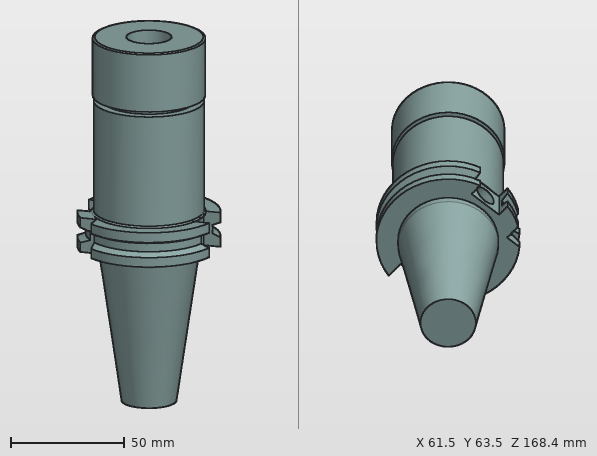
import cadquery as cq


gauge_diameter = 44.45
shank_length = 68.4
taper_ratio = 7 / 24
shank_end_diameter = gauge_diameter - taper_ratio * shank_length

flange_diameter = 63.55
flange_bottom = 3.2
flange_top = 19.1
groove_center = 11.08
groove_diameter = 56.25
groove_opening = 7.0
groove_floor_width = 3.85

body_diameter = 49.0
body_top = 70.5
fillet_radius = 0.8
neck_diameter = 40.5
nut_diameter = 50.0
nut_bottom = 73.0
nut_top = 100.0
nut_chamfer_width = 1.0
nut_chamfer_height = 0.52

bore_diameter = 20.0
bore_depth = nut_top - nut_bottom

slot_width = 16.1
left_slot_floor = 25.0
right_slot_floor = 22.8
slot_hole_diameter = 10.0
slot_hole_depth = 4.7

notch_offset = 18.5


def turned_body():
    """Revolve the outer profile, with a fillet between flange and body, about Z."""
    flange_radius = flange_diameter / 2
    groove_radius = groove_diameter / 2
    half_opening = groove_opening / 2
    half_floor = groove_floor_width / 2
    body_radius = body_diameter / 2
    shank_and_flange = [
        (shank_end_diameter / 2, -shank_length),
        (gauge_diameter / 2, 0),
        (gauge_diameter / 2, flange_bottom),
        (flange_radius, flange_bottom),
        (flange_radius, groove_center - half_opening),
        (groove_radius, groove_center - half_floor),
        (groove_radius, groove_center + half_floor),
        (flange_radius, groove_center + half_opening),
        (flange_radius, flange_top),
        (body_radius + fillet_radius, flange_top),
    ]
    fillet_end = (body_radius, flange_top + fillet_radius)
    body_and_nut = [
        (body_radius, body_top),
        (neck_diameter / 2, body_top),
        (neck_diameter / 2, nut_bottom),
        (nut_diameter / 2, nut_bottom),
        (nut_diameter / 2, nut_top - nut_chamfer_height),
        (nut_diameter / 2 - nut_chamfer_width, nut_top),
        (0, nut_top),
    ]
    return (
        cq.Workplane("XZ")
        .moveTo(0, -shank_length)
        .polyline(shank_and_flange, includeCurrent=True)
        .radiusArc(fillet_end, fillet_radius)
        .polyline(body_and_nut, includeCurrent=True)
        .close()
        .revolve(360, (0, 0, 0), (0, 1, 0))
    )


def flange_cutter(x_min, x_max, y_min, y_max):
    """Block over the full height of the flange, bounded in X and Y."""
    return (
        cq.Workplane("XY")
        .workplane(offset=flange_bottom)
        .center((x_min + x_max) / 2, (y_min + y_max) / 2)
        .rect(x_max - x_min, y_max - y_min)
        .extrude(flange_top - flange_bottom)
    )


def drive_slots():
    half_width = slot_width / 2
    left_slot = flange_cutter(-flange_diameter, -left_slot_floor, -half_width, half_width)
    right_slot = flange_cutter(right_slot_floor, flange_diameter, -half_width, half_width)
    return left_slot.union(right_slot)


def orientation_notch():
    return flange_cutter(-flange_diameter, -notch_offset, -flange_diameter, -notch_offset)


def slot_hole():
    """Blind hole running in +X from the floor of the -X slot."""
    return (
        cq.Workplane("YZ", origin=(-left_slot_floor, 0, groove_center))
        .circle(slot_hole_diameter / 2)
        .extrude(slot_hole_depth)
    )


def tool_bore():
    return (
        cq.Workplane("XY", origin=(0, 0, nut_top))
        .circle(bore_diameter / 2)
        .extrude(-bore_depth)
    )


result = (
    turned_body()
    .cut(drive_slots())
    .cut(orientation_notch())
    .cut(slot_hole())
    .cut(tool_bore())
)